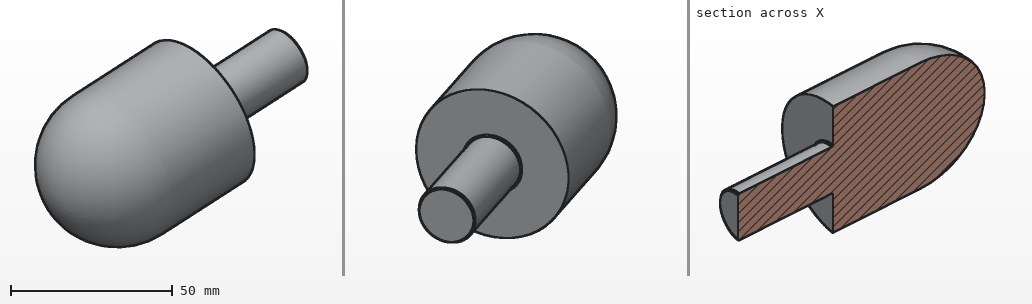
import cadquery as cq

total_length = 97.3
body_diameter = 51.0
stem_diameter = 19.0
stem_length = 37.5
edge_chamfer = 0.5
root_flare = 0.5

dome_radius = body_diameter / 2
stem_radius = stem_diameter / 2
front_end = -total_length / 2
stem_end = total_length / 2
dome_base = front_end + dome_radius
shoulder = stem_end - stem_length
dome_mid = dome_radius * 0.5 ** 0.5

profile = (
    cq.Workplane("XY")
    .moveTo(0, front_end)
    .threePointArc((dome_mid, dome_base - dome_mid), (dome_radius, dome_base))
    .lineTo(dome_radius, shoulder)
    .lineTo(stem_radius + root_flare, shoulder)
    .lineTo(stem_radius, shoulder + root_flare)
    .lineTo(stem_radius, stem_end - edge_chamfer)
    .lineTo(stem_radius - edge_chamfer, stem_end)
    .lineTo(0, stem_end)
    .close()
)

result = profile.revolve(360, (0, 0, 0), (0, 1, 0))